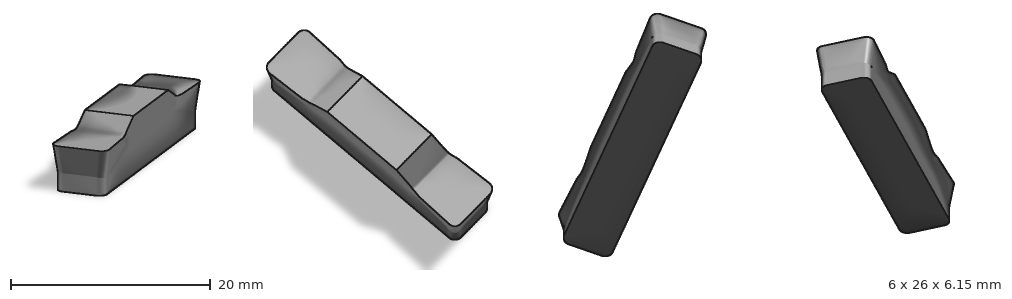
import cadquery as cq
import math

length = 26.0
height = 6.15
body_width = 5.25
corner_radius = 0.83

head_top_z = 4.84
crest_half_length = 4.68
ramp_angle = math.radians(30)
ramp_root_radius = 1.0

relief_angle = math.radians(6.7)
front_seam_z = 1.95
neck_y = 6.15
neck_seam_z = 3.7
side_seam_slope = 0.34
neck_radius = 7.55
neck_sweep = math.radians(30)

half_length = length / 2
half_width = body_width / 2
relief = math.tan(relief_angle)
body_half_length = half_length - relief * (head_top_z - front_seam_z)


def end_y(z):
    """Y of the relieved end face at height z."""
    return half_length + relief * (z - head_top_z)


def side_x(y, z):
    """X of the relieved side face at the given place."""
    return half_width + relief * (z - neck_seam_z + side_seam_slope * (y - neck_y))


def make_body():
    body = cq.Workplane("XY").box(body_width, 2 * body_half_length, height, centered=(True, True, False))
    return body.edges("|Z").fillet(corner_radius)


def head_section(z):
    """Corners of the tapered head outline at height z."""
    front = end_y(z)
    back_x = side_x(neck_y, z)
    front_x = side_x(front, z)
    return [(-back_x, neck_y), (back_x, neck_y), (front_x, front), (-front_x, front)]


def make_head():
    head = (
        cq.Workplane("XY").polyline(head_section(0)).close()
        .workplane(offset=height).polyline(head_section(height)).close()
        .loft(ruled=True)
    )
    corner_zone = cq.selectors.BoxSelector(
        (-body_width, body_half_length - corner_radius, height / 4),
        (body_width, length, height * 3 / 4),
    )
    head = head.edges(corner_zone).fillet(corner_radius)
    return head.intersect(make_neck_limit())


def make_neck_limit():
    """Plan outline whose concave sides leave the body side tangentially at the neck."""
    def arc_point(angle):
        x = half_width + neck_radius * (1 - math.cos(angle))
        return x, neck_y + neck_radius * math.sin(angle)

    mid_x, mid_y = arc_point(neck_sweep / 2)
    end_x, arc_end_y = arc_point(neck_sweep)
    return (
        cq.Workplane("XY").moveTo(-half_width, neck_y).lineTo(half_width, neck_y)
        .threePointArc((mid_x, mid_y), (end_x, arc_end_y))
        .lineTo(end_x, length).lineTo(-end_x, length).lineTo(-end_x, arc_end_y)
        .threePointArc((-mid_x, mid_y), (-half_width, neck_y)).close()
        .extrude(height)
    )


def make_profile():
    """Side profile of the whole insert, extruded across its width."""
    ramp_root_y = crest_half_length + (height - head_top_z) / math.tan(ramp_angle)
    points = [
        (-length, 0), (length, 0), (length, head_top_z), (ramp_root_y, head_top_z),
        (crest_half_length, height), (-crest_half_length, height),
        (-ramp_root_y, head_top_z), (-length, head_top_z),
    ]
    profile = cq.Workplane("YZ").polyline(points).close().extrude(body_width, both=True)
    for side in (-1, 1):
        root = cq.selectors.NearestToPointSelector((0, side * ramp_root_y, head_top_z))
        profile = profile.edges("|X").edges(root).fillet(ramp_root_radius)
    return profile


head = make_head()
result = make_body().union(head).union(head.mirror("XZ")).intersect(make_profile())